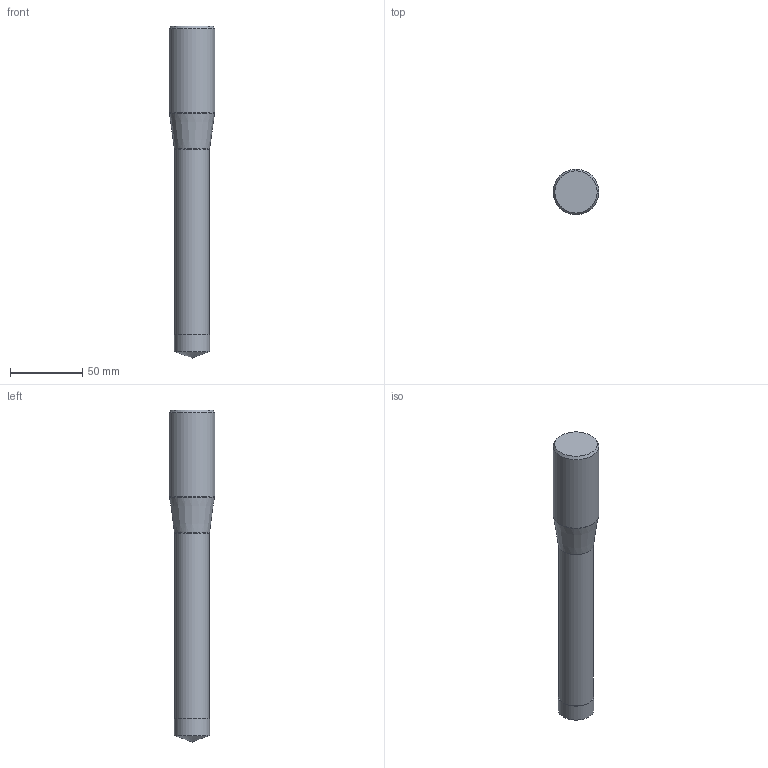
import cadquery as cq
import math

overall_length = 230.52

shank_diameter = 31.75
shank_length = 60.3
shank_chamfer_height = 2.0
shank_chamfer_width = 1.2

neck_top_diameter = 31.25
neck_bottom_diameter = 24.5
neck_length = 25.0
shoulder_height = 0.3

body_diameter = 24.2

tip_diameter = 24.606
tip_side_length = 11.9
point_angle = 140.0

shank_radius = shank_diameter / 2
neck_top_radius = neck_top_diameter / 2
neck_bottom_radius = neck_bottom_diameter / 2
body_radius = body_diameter / 2
tip_radius = tip_diameter / 2

point_height = tip_radius / math.tan(math.radians(point_angle / 2))
joint_z = point_height + tip_side_length
shank_bottom_z = overall_length - shank_length
neck_top_z = shank_bottom_z - shoulder_height
neck_bottom_z = shank_bottom_z - neck_length
body_top_z = neck_bottom_z - shoulder_height
shank_chamfer_z = overall_length - shank_chamfer_height


def revolve_about_z(profile):
    """Turn a closed (radius, z) outline about the Z axis."""
    return cq.Workplane("XZ").polyline(profile).close().revolve(360, (0, 0), (0, 1))


def make_drill_body():
    """Round body with a conical neck and a thicker shank chamfered at the top."""
    return revolve_about_z([
        (0, joint_z),
        (body_radius, joint_z),
        (body_radius, body_top_z),
        (neck_bottom_radius, neck_bottom_z),
        (neck_top_radius, neck_top_z),
        (shank_radius, shank_bottom_z),
        (shank_radius, shank_chamfer_z),
        (shank_radius - shank_chamfer_width, overall_length),
        (0, overall_length),
    ])


def make_cutting_tip():
    """Cylindrical tip with a conical point, seated flat against the body."""
    return revolve_about_z([
        (0, 0),
        (tip_radius, point_height),
        (tip_radius, joint_z),
        (0, joint_z),
    ])


drill_body = make_drill_body()
cutting_tip = make_cutting_tip()

result = cq.Compound.makeCompound([drill_body.val(), cutting_tip.val()])